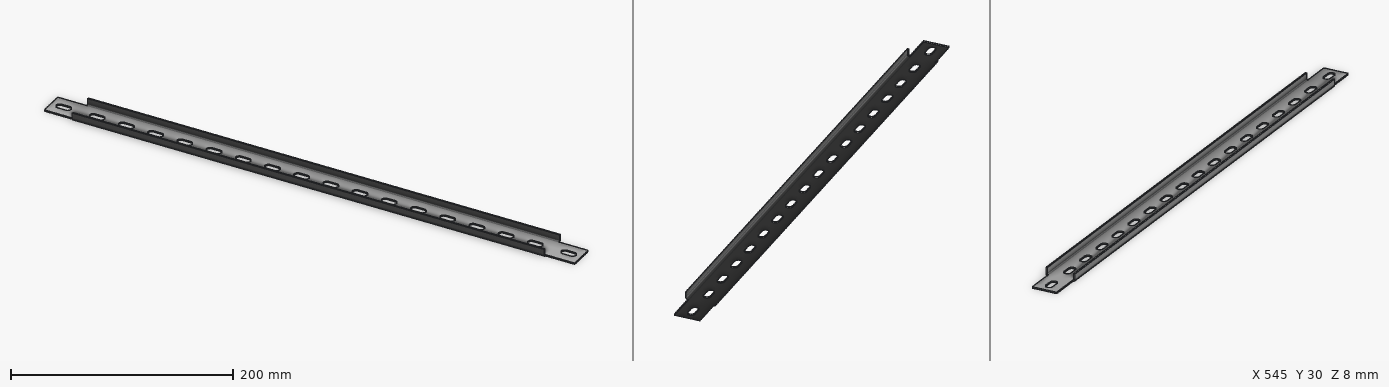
import cadquery as cq

rail_length = 545.0
rail_width = 30.0
rail_height = 8.0

sheet = 1.5
inner_bend_radius = 1.0
outer_bend_radius = inner_bend_radius + sheet

tab_length = 30.0
flange_length = rail_length - 2 * tab_length
tab_width = rail_width - 2 * outer_bend_radius

slot_length = 15.0
slot_width = 7.0
row_slot_count = 16
row_span = 450.0
row_pitch = row_span / (row_slot_count - 1)
tab_slot_inset = 13.0


def channel():
    """U-shaped folded channel, open upwards, centred on the origin in X and Y."""
    outer = (
        cq.Workplane("XY")
        .box(flange_length, rail_width, rail_height, centered=(True, True, False))
        .edges("|X and <Z")
        .fillet(outer_bend_radius)
    )
    inner = (
        cq.Workplane("XY")
        .workplane(offset=sheet)
        .box(flange_length, rail_width - 2 * sheet, rail_height - sheet, centered=(True, True, False))
        .edges("|X and <Z")
        .fillet(inner_bend_radius)
    )
    return outer.cut(inner)


def web_strip():
    """Flat strip over the full length, forming the end tabs."""
    return cq.Workplane("XY").box(rail_length, tab_width, sheet, centered=(True, True, False))


def slots():
    """Cutters for all slots, with their long axis along X."""
    row_positions = [i * row_pitch - row_span / 2 for i in range(row_slot_count)]
    tab_slot_x = rail_length / 2 - tab_slot_inset
    positions = [-tab_slot_x] + row_positions + [tab_slot_x]
    return (
        cq.Workplane("XY")
        .pushPoints([(x, 0) for x in positions])
        .slot2D(slot_length, slot_width)
        .extrude(sheet)
    )


result = channel().union(web_strip()).cut(slots())